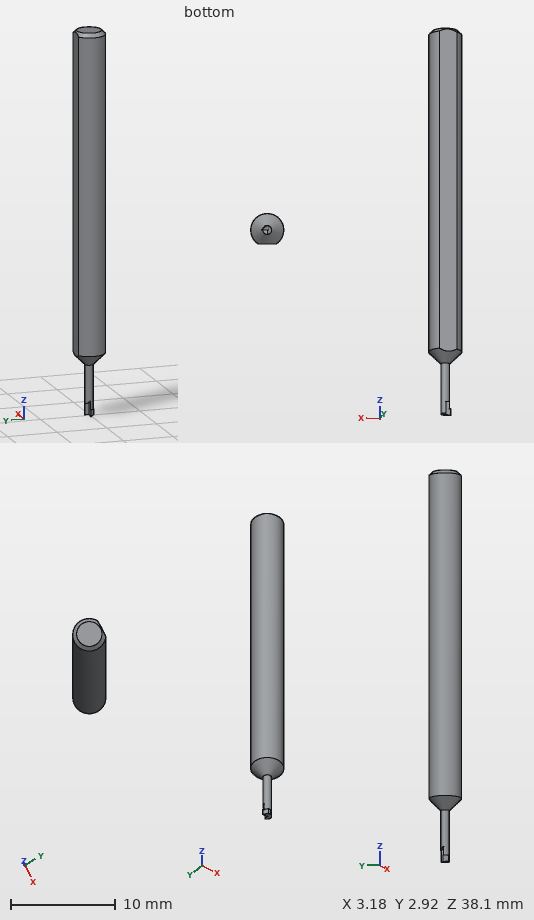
import cadquery as cq

overall_length = 38.1
shank_diameter = 3.175
shank_radius = shank_diameter / 2
depth_across_flat = 2.92
flat_y = depth_across_flat - shank_radius
top_chamfer = 0.38

neck_radius = 0.42
neck_end_z = 0.08
cone_base_z = 5.06
cone_height = shank_radius - neck_radius
shank_base_z = cone_base_z + cone_height

tooth_reach = 0.56
tooth_height = 0.65
flank_break_x = -0.2
heel_x = 0.1
heel_y = -neck_radius
end_relief_rise = neck_end_z

pocket_wall_x = 0.03
pocket_length = 1.2
pocket_runout = 0.3


def make_body():
    """Shank, cone and neck turned about the Z axis."""
    profile = [
        (0, neck_end_z),
        (neck_radius, neck_end_z),
        (neck_radius, cone_base_z),
        (shank_radius, shank_base_z),
        (shank_radius, overall_length - top_chamfer),
        (shank_radius - top_chamfer, overall_length),
        (0, overall_length),
    ]
    return cq.Workplane("XZ").polyline(profile).close().revolve(360, (0, 0), (0, 1))


def make_flat_cutter():
    """Block beyond the clamping flat, along the whole length."""
    return (
        cq.Workplane("XY")
        .box(shank_diameter, shank_radius, overall_length, centered=(True, False, False))
        .translate((0, flat_y, 0))
    )


def make_pocket_cutter():
    """Block above the rake face whose upper end slopes down towards +Y."""
    side = [
        (0, 0),
        (0, pocket_length + pocket_runout),
        (neck_radius, pocket_length),
        (shank_radius, pocket_length),
        (shank_radius, 0),
    ]
    return cq.Workplane("YZ", origin=(pocket_wall_x, 0, 0)).polyline(side).close().extrude(-shank_radius)


def make_tooth():
    """Tooth with a flat rake face, a two-facet flank and a bottom rising away from its tip."""
    outline = [
        (-tooth_reach, 0),
        (heel_x, 0),
        (heel_x, heel_y),
        (flank_break_x, heel_y),
    ]
    blank = cq.Workplane("XY").polyline(outline).close().extrude(tooth_height)
    side_relief = (
        cq.Workplane("YZ", origin=(-tooth_reach, 0, 0))
        .polyline([(0, 0), (heel_y, 0), (heel_y, end_relief_rise)])
        .close()
        .extrude(tooth_reach + heel_x)
    )
    front_relief = (
        cq.Workplane("XZ")
        .polyline([(-tooth_reach, 0), (heel_x, 0), (heel_x, end_relief_rise)])
        .close()
        .extrude(-heel_y)
    )
    return blank.cut(side_relief).cut(front_relief)


result = make_body().cut(make_flat_cutter()).cut(make_pocket_cutter()).union(make_tooth())